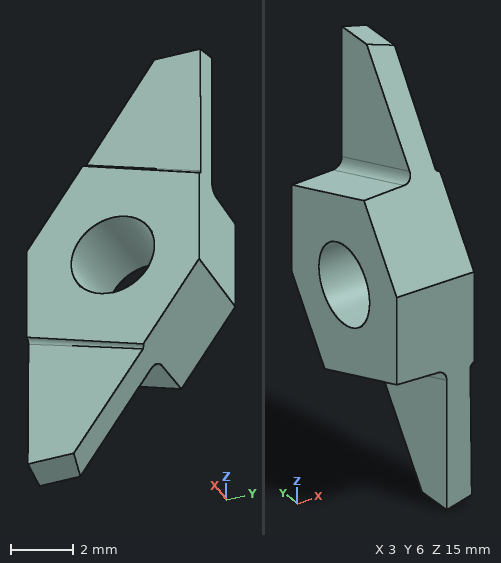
import cadquery as cq
import math

thickness = 3.0
width = 6.0
length = 15.0
hole_diameter = 2.9

tip_width = 1.42
flank_corner_z = 0.93

blade_front_x = 1.94
blade_back_neck_x = 2.85
blade_back_tip_x = 2.91
tip_drop = 0.25

shoulder_angle = 18.0
shoulder_edge_z = 2.28
shoulder_draft = 2.0
shoulder_fillet = 0.36
back_shoulder_z = 2.4
back_shoulder_radius = 0.2

margin = 1.5

half_width = width / 2
half_length = length / 2
slant = math.radians(shoulder_angle)
draft = math.radians(shoulder_draft)


def make_body():
    """Six-sided plate with the two blade flanks, bored through its centre."""
    half_outline = [
        (half_width, half_length),
        (half_width - tip_width, half_length),
        (-half_width, flank_corner_z),
    ]
    opposite_half = [(-y, -z) for y, z in half_outline]
    plate = cq.Workplane("YZ").polyline(half_outline + opposite_half).close().extrude(thickness)
    bore = cq.Workplane("YZ").circle(hole_diameter / 2).extrude(thickness)
    return plate.cut(bore)


def sweep_along_shoulder(profile, edge_z):
    """Extrude an (x, height) profile along the slanted shoulder line through the +Y edge."""
    return (
        profile.extrude(width, both=True)
        .rotate((0, 0, 0), (1, 0, 0), -shoulder_angle)
        .translate((0, half_width, edge_z))
    )


def front_relief():
    """Space in front of the upper blade: drafted shoulder with a filleted root."""
    root_height = blade_front_x * math.tan(draft)
    tangent_length = shoulder_fillet * math.tan((math.pi / 2 - draft) / 2)
    wall_end_x = blade_front_x - tangent_length * math.cos(draft)
    wall_end_height = root_height - tangent_length * math.sin(draft)
    fillet_end_height = root_height + tangent_length
    center = (blade_front_x - shoulder_fillet, fillet_end_height)
    middle_angle = -(math.pi / 2 - draft) / 2
    fillet_middle = (
        center[0] + shoulder_fillet * math.cos(middle_angle),
        center[1] + shoulder_fillet * math.sin(middle_angle),
    )
    profile = (
        cq.Workplane("XZ")
        .moveTo(-margin, -margin * math.tan(draft))
        .lineTo(wall_end_x, wall_end_height)
        .threePointArc(fillet_middle, (blade_front_x, fillet_end_height))
        .lineTo(blade_front_x, length)
        .lineTo(-margin, length)
        .close()
    )
    return sweep_along_shoulder(profile, shoulder_edge_z)


def back_relief():
    """Shallow space behind the upper blade: tapered back face with a rounded root."""
    depth = thickness - blade_back_neck_x
    root_height = math.sqrt(back_shoulder_radius**2 - (back_shoulder_radius - depth) ** 2)
    root_profile = (
        cq.Workplane("XZ")
        .moveTo(thickness, 0)
        .radiusArc((blade_back_neck_x, root_height), back_shoulder_radius)
        .lineTo(blade_back_neck_x, length)
        .lineTo(thickness + margin, length)
        .lineTo(thickness + margin, 0)
        .close()
    )
    shoulder_space = sweep_along_shoulder(root_profile, back_shoulder_z)
    taper_space = (
        cq.Workplane("XZ")
        .polyline(
            [
                (blade_back_neck_x, 0),
                (blade_back_neck_x, back_shoulder_z),
                (blade_back_tip_x, half_length),
                (thickness + margin, half_length),
                (thickness + margin, 0),
            ]
        )
        .close()
        .extrude(width, both=True)
    )
    return shoulder_space.intersect(taper_space)


def tip_relief():
    """Wedge that slopes the upper blade end down toward the back face."""
    wedge = [
        (blade_front_x, half_length),
        (blade_back_tip_x, half_length - tip_drop),
        (blade_back_tip_x, half_length),
    ]
    return cq.Workplane("XZ").polyline(wedge).close().extrude(width, both=True)


result = make_body()
for make_relief in (front_relief, back_relief, tip_relief):
    relief = make_relief()
    for turn in (0, 180):
        result = result.cut(relief.rotate((0, 0, 0), (1, 0, 0), turn))